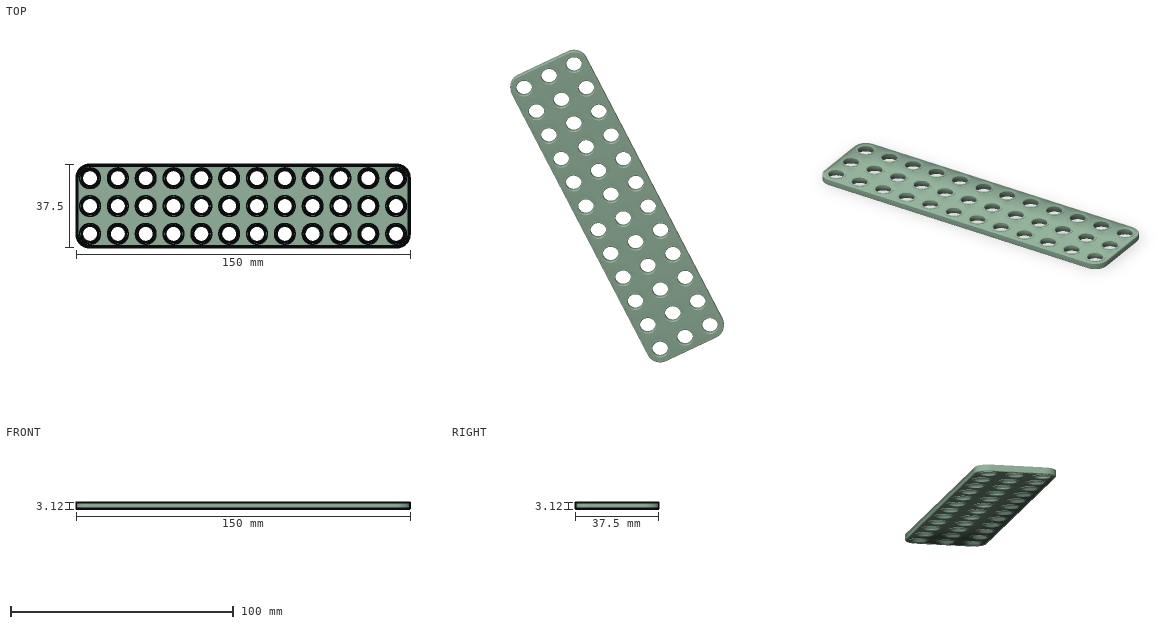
import cadquery as cq

pitch = 12.5
columns = 12
rows = 3
length = columns * pitch
width = rows * pitch
thickness = 3.12
corner_radius = pitch / 2

hole_diameter = 7.0
ring_diameter = 9.2

chamfer = 0.3

border_width = 0.8
recess_depth = 0.2


def rounded_slab(inset, bottom, height):
    """Slab with the plate outline moved inwards by the inset, starting at height Z = bottom."""
    slab = cq.Workplane("XY", origin=(0, 0, bottom))
    slab = slab.rect(length - 2 * inset, width - 2 * inset).extrude(height)
    return slab.edges("|Z").fillet(corner_radius - inset)


def hole_grid():
    """Workplane on the bottom face with a point at the centre of every cell."""
    return cq.Workplane("XY").rarray(pitch, pitch, columns, rows)


def make_plate():
    """Full-thickness plate with both outer rims chamfered."""
    return rounded_slab(0, 0, thickness).faces("<Z or >Z").edges().chamfer(chamfer)


def sink_faces(plate):
    """Lower both faces inside the border, leaving a raised ring at every hole."""
    for bottom in (0, thickness - recess_depth):
        plate = plate.cut(rounded_slab(border_width, bottom, recess_depth))
    rings = hole_grid().circle(ring_diameter / 2).extrude(thickness)
    return plate.union(rings)


def make_hole_cutter():
    """Through hole that flares into a chamfer at both ends."""
    bore_radius = hole_diameter / 2
    mouth_radius = bore_radius + chamfer
    half_section = (
        cq.Workplane("XZ")
        .moveTo(0, 0)
        .lineTo(mouth_radius, 0)
        .lineTo(bore_radius, chamfer)
        .lineTo(bore_radius, thickness - chamfer)
        .lineTo(mouth_radius, thickness)
        .lineTo(0, thickness)
        .close()
    )
    return half_section.revolve(360, (0, 0, 0), (0, 1, 0)).val()


def cut_holes(plate):
    """Cut one chamfered hole in every cell."""
    cutter = make_hole_cutter()
    return plate.cut(hole_grid().eachpoint(lambda place: cutter.moved(place)))


result = cut_holes(sink_faces(make_plate()))